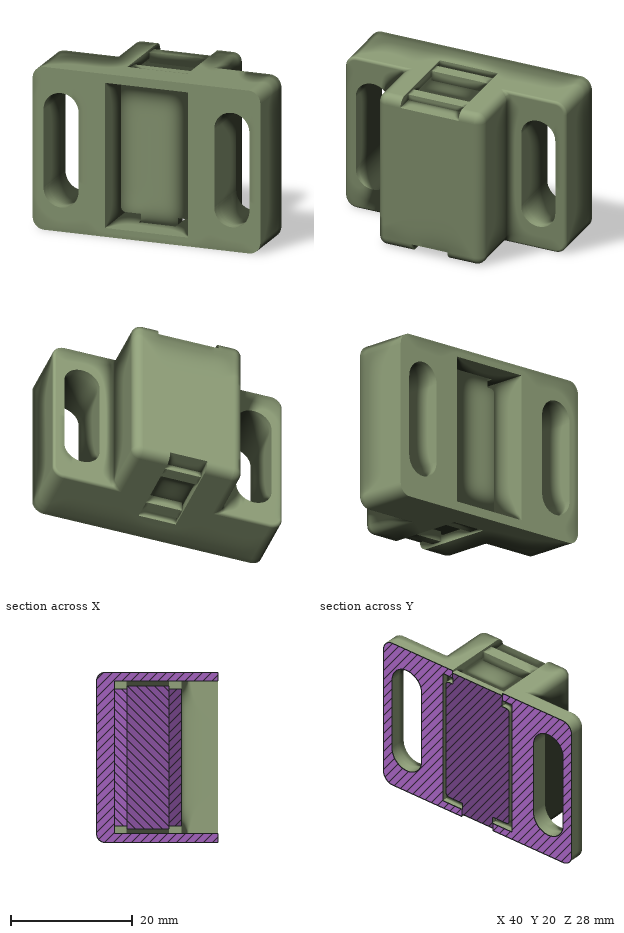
import cadquery as cq

LENGTH = 40.0
DEPTH = 20.0
HEIGHT = 28.0
BASE_DEPTH = 10.0
BASE_CORNER_RADIUS = 2.0
BASE_EDGE_RADIUS = 0.5
BLOCK_WIDTH = 19.05
BLOCK_RADIUS = 1.5
JUNCTION_RADIUS = 0.5
EMBED = 4.0

SLOT_SPACING = 30.0
SLOT_WIDTH = 6.15
SLOT_LENGTH = 19.7

MAGNET_WIDTH = 13.5
MAGNET_HEIGHT = 23.5
MAGNET_DEPTH = 7.0
PLATE_THICKNESS = 2.0
PLATE_HEIGHT = 22.7
PLATE_CORNER_RADIUS = 0.75
TAB_END_GAP = 0.5
STACK_FRONT = 6.0

MAGNET_FRONT = STACK_FRONT + PLATE_THICKNESS
REAR_PLATE_FRONT = MAGNET_FRONT + MAGNET_DEPTH
STACK_REAR = REAR_PLATE_FRONT + PLATE_THICKNESS

POCKET_WIDTH = 14.55
POCKET_HEIGHT = 24.95
WINDOW_FRONT = 4.9
TOP_WINDOW_WIDTH = 10.5
BOTTOM_WINDOW_WIDTH = 6.5
TAB_REACH = HEIGHT / 2 - TAB_END_GAP


def box(width, front, rear, bottom, top):
    """Box centred on X, given its front and rear Y and its bottom and top Z."""
    corner = (-width / 2, front, bottom)
    return cq.Workplane("XY").box(width, rear - front, top - bottom, centered=False).translate(corner)


def make_flange():
    flange = box(LENGTH, 0, BASE_DEPTH, -HEIGHT / 2, HEIGHT / 2)
    flange = flange.edges("|Y").fillet(BASE_CORNER_RADIUS)
    return flange.faces(">Y").edges().fillet(BASE_EDGE_RADIUS)


def make_block():
    block = box(BLOCK_WIDTH, BASE_DEPTH - EMBED, DEPTH, -HEIGHT / 2, HEIGHT / 2)
    return block.edges("|Y or >Y").fillet(BLOCK_RADIUS)


def blend_junction(shell):
    """Round the inner corner where the block rises from the rear face of the flange."""
    margin = BASE_EDGE_RADIUS / 2
    around_block = cq.selectors.BoxSelector(
        (-BLOCK_WIDTH / 2 - margin, BASE_DEPTH - margin, -HEIGHT),
        (BLOCK_WIDTH / 2 + margin, BASE_DEPTH + margin, HEIGHT),
        boundingbox=True,
    )
    return shell.edges(around_block).fillet(JUNCTION_RADIUS)


def make_slots():
    return (
        cq.Workplane("XZ")
        .pushPoints([(-SLOT_SPACING / 2, 0), (SLOT_SPACING / 2, 0)])
        .slot2D(SLOT_LENGTH, SLOT_WIDTH, 90)
        .extrude(-BASE_DEPTH)
    )


def make_housing():
    pocket = box(POCKET_WIDTH, 0, STACK_REAR, -POCKET_HEIGHT / 2, POCKET_HEIGHT / 2)
    top_window = box(TOP_WINDOW_WIDTH, WINDOW_FRONT, DEPTH, POCKET_HEIGHT / 2, HEIGHT / 2)
    bottom_window = box(BOTTOM_WINDOW_WIDTH, WINDOW_FRONT, DEPTH, -HEIGHT / 2, -POCKET_HEIGHT / 2)
    shell = blend_junction(make_flange().union(make_block()))
    for cutter in (make_slots(), pocket, top_window, bottom_window):
        shell = shell.cut(cutter)
    return shell


def make_magnet():
    return box(MAGNET_WIDTH, MAGNET_FRONT, REAR_PLATE_FRONT, -MAGNET_HEIGHT / 2, MAGNET_HEIGHT / 2)


def make_pole_plate(front):
    rear = front + PLATE_THICKNESS
    body = box(MAGNET_WIDTH, front, rear, -PLATE_HEIGHT / 2, PLATE_HEIGHT / 2)
    body = body.edges("|Y").fillet(PLATE_CORNER_RADIUS)
    top_tab = box(TOP_WINDOW_WIDTH, front, rear, 0, TAB_REACH)
    bottom_tab = box(BOTTOM_WINDOW_WIDTH, front, rear, -TAB_REACH, 0)
    return body.union(top_tab).union(bottom_tab)


housing = make_housing()
magnet = make_magnet()
pole_plates = [make_pole_plate(front) for front in (STACK_FRONT, REAR_PLATE_FRONT)]

result = cq.Compound.makeCompound([housing.val(), magnet.val(), *(plate.val() for plate in pole_plates)])